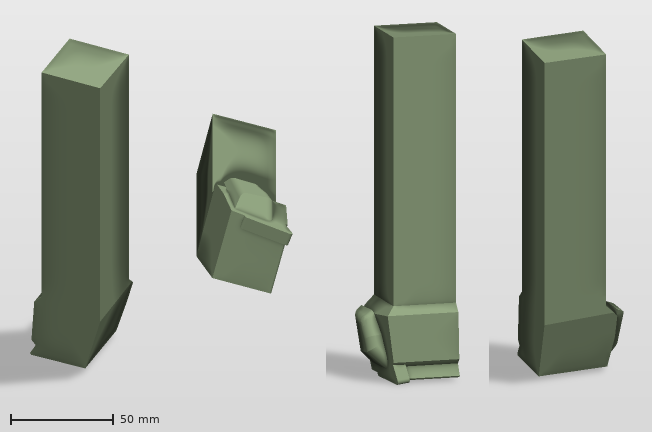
import cadquery as cq
import math


shank_size = 32.0
top_z = 171.35
right_face_inset = 0.4

rake_slope = math.tan(math.radians(6))
edge_angle = 1.0

shoulder_size = 4.0
shoulder_top_z = 37.8
head_back_y = shank_size + 6.0
side_foot = (-37.5, 10.7)
notch = (-35.2, 8.2)
seat_length = 6.4
seat_angle = 60.0 + edge_angle
seat_nose = (-37.6, 1.75)
bottom_right_x = -8.5
taper_angle = 15.0

insert_corner = (-41.49, shank_size, -0.05)
insert_side = 27.5
insert_thickness = 6.35
nose_radius = 1.6

clamp_left_corner = (16.7, 22.8)
clamp_lower_face_angle = 67.7
clamp_upper_face_angle = 52.7
clamp_nose_v = 5.7
clamp_back_v = 33.2
clamp_side_u = 39.0
clamp_nose_angle = 41.0
clamp_end_draft = 22.0
clamp_top_point = (0, 44.71, 31.0)
clamp_top_slope = 0.09
clamp_corner_radius = 3.8
clamp_edge_radius = 4.2

FAR = 80.0
ROOT = 10.0

ux = math.cos(math.radians(edge_angle))
uz = math.sin(math.radians(edge_angle))
rake = cq.Plane(
    origin=insert_corner,
    xDir=(ux, rake_slope * (ux + uz), uz),
    normal=(rake_slope, -1, rake_slope),
)


def make_shank():
    shank = cq.Workplane("XY", origin=(-shank_size, 0, shoulder_top_z))
    return shank.box(shank_size, shank_size, top_z - shoulder_top_z, centered=False)


def make_head():
    seat_end = (
        notch[0] - seat_length * math.cos(math.radians(seat_angle)),
        notch[1] - seat_length * math.sin(math.radians(seat_angle)),
    )
    bottom_right_z = seat_nose[1] + (bottom_right_x - seat_nose[0]) * math.tan(math.radians(edge_angle))
    taper_top_z = bottom_right_z - bottom_right_x / math.tan(math.radians(taper_angle))
    outline = [
        (0, shoulder_top_z),
        (-shank_size, shoulder_top_z),
        (-shank_size - shoulder_size, shoulder_top_z - shoulder_size),
        side_foot,
        notch,
        seat_end,
        seat_nose,
        (bottom_right_x, bottom_right_z),
        (0, taper_top_z),
    ]
    head = cq.Workplane("XZ").polyline(outline).close().extrude(-head_back_y)

    overhang = head_back_y - shank_size
    shoulder_section = [
        (shank_size, shoulder_top_z),
        (head_back_y, shoulder_top_z),
        (head_back_y, shoulder_top_z - overhang),
    ]
    shoulder = cq.Workplane("YZ").polyline(shoulder_section).close().extrude(FAR, both=True)

    above_rake = cq.Workplane(rake).rect(2 * FAR, 2 * FAR).extrude(-FAR)
    return head.cut(shoulder).cut(above_rake)


def make_insert():
    apex = (insert_side / 2, insert_side * math.sqrt(3) / 2)
    plate = cq.Workplane(rake).polyline([(0, 0), (insert_side, 0), apex]).close().extrude(insert_thickness)
    corners = cq.selectors.ParallelDirSelector(rake.zDir)
    return plate.edges(corners).fillet(nose_radius)


def right_face_cutter():
    """Thin wedge that leans the right face of the shank and head."""
    wedge = [(0, 0), (-right_face_inset, 0), (0, shank_size)]
    return cq.Workplane("XY").polyline(wedge).close().extrude(top_z)


def slanted_cutter(along, depth, foot, run, outer):
    """Block that trims the clamp to a slanted face.

    The face crosses the rake face at distance `foot` in direction `along`, shifts by `run`
    per mm of height, and is straight in direction `depth`. The block lies on the `outer` side.
    """
    section = cq.Plane(origin=rake.origin - depth * FAR, xDir=along, normal=depth)
    outline = [(foot - run * FAR, -FAR), (foot + run * FAR, FAR), (outer, FAR), (outer, -FAR)]
    return cq.Workplane(section).polyline(outline).close().extrude(2 * FAR)


def clamp_blank():
    """Clamp with sharp edges, reaching below the rake face."""
    corner_u, corner_v = clamp_left_corner
    lower_u = corner_u - (corner_v + FAR) / math.tan(math.radians(clamp_lower_face_angle))
    upper_u = corner_u + (FAR - corner_v) / math.tan(math.radians(clamp_upper_face_angle))
    outline = [(FAR, FAR), (FAR, -FAR), (lower_u, -FAR), clamp_left_corner, (upper_u, FAR)]
    blank = cq.Workplane(rake).workplane(offset=ROOT).polyline(outline).close().extrude(-FAR)

    nose_run = 1 / math.tan(math.radians(clamp_nose_angle))
    end_run = -math.tan(math.radians(clamp_end_draft))
    top_plane = cq.Plane(origin=clamp_top_point, xDir=(1, 0, 0), normal=(0, 1, -clamp_top_slope))
    above_top = cq.Workplane(top_plane).rect(4 * FAR, 4 * FAR).extrude(FAR)
    nose = slanted_cutter(rake.yDir, -rake.xDir, clamp_nose_v, nose_run, -2 * FAR)
    back = slanted_cutter(rake.yDir, -rake.xDir, clamp_back_v, end_run, 2 * FAR)

    cos_taper = math.cos(math.radians(taper_angle))
    sin_taper = math.sin(math.radians(taper_angle))
    outward = rake.xDir * cos_taper - rake.yDir * sin_taper
    upward = rake.xDir * sin_taper + rake.yDir * cos_taper
    side_foot_distance = clamp_side_u * cos_taper - clamp_back_v * sin_taper
    side = slanted_cutter(outward, upward, side_foot_distance, end_run, 2 * FAR)
    return blank.cut(above_top).cut(nose).cut(back).cut(side)


def make_clamp():
    clamp = clamp_blank()
    toward_top = cq.Vector(0, 1, -clamp_top_slope)
    top_face = cq.selectors.DirectionMinMaxSelector(toward_top, True)
    middle_u = (clamp_left_corner[0] + clamp_side_u) / 2

    def edge_near(u, v):
        return cq.selectors.NearestToPointSelector(rake.toWorldCoords((u, v, 0)).toTuple())

    clamp = clamp.edges(edge_near(middle_u, clamp_back_v)).fillet(clamp_corner_radius)

    nose_edge = clamp.faces(top_face).edges(cq.selectors.DirectionMinMaxSelector(rake.yDir, False)).val()
    rounded = [edge for edge in clamp.faces(top_face).edges().vals() if not edge.isSame(nose_edge)]
    rounded.append(clamp.edges(edge_near(clamp_left_corner[0] / 2, clamp_nose_v)).val())
    clamp = clamp.newObject(rounded).fillet(clamp_edge_radius)

    below_rake = cq.Workplane(rake).rect(4 * FAR, 4 * FAR).extrude(FAR)
    return clamp.cut(below_rake)


insert = make_insert()

body = make_shank().union(make_head()).cut(right_face_cutter())
holder = body.union(make_clamp()).cut(insert)

result = cq.Compound.makeCompound([holder.val(), insert.val()])